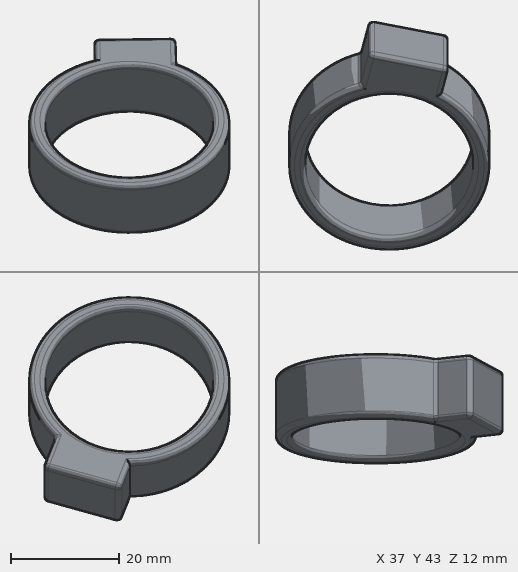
import cadquery as cq
import math

overall_length = 43.0
height = 12.0
edge_radius = 1.0

outer_radius = 18.5
bore_diameter = 31.0

block_angle = math.radians(27.0)
block_width = 15.0
block_right = 9.05
block_left = block_right - block_width

corner_center_y = overall_length - outer_radius - edge_radius
block_reach = edge_radius + (
    corner_center_y - (block_right - edge_radius) * math.sin(block_angle)
) / math.cos(block_angle)


def turned(side, reach):
    """X, Y of a place given in the block's own sideways and outward directions."""
    x = side * math.cos(block_angle) - reach * math.sin(block_angle)
    y = side * math.sin(block_angle) + reach * math.cos(block_angle)
    return x, y


def round_vertical_edge(body, side, reach):
    """Round the vertical edge that stands at the given place of the block."""
    x, y = turned(side, reach)
    nearest = cq.selectors.NearestToPointSelector((x, y, height / 2))
    return body.edges("|Z").edges(nearest).fillet(edge_radius)


def make_blank():
    """Disc and block in one piece, bored through, with all edges still sharp."""
    disc = cq.Workplane("XY").circle(outer_radius).extrude(height)
    corners = [
        turned(block_left, 0),
        turned(block_right, 0),
        turned(block_right, block_reach),
        turned(block_left, block_reach),
    ]
    block = cq.Workplane("XY").polyline(corners).close().extrude(height)
    bore = cq.Workplane("XY").circle(bore_diameter / 2).extrude(height)
    return disc.union(block).cut(bore)


def make_ring():
    """Ring with its block, edges rounded; the left-hand root of the block stays sharp."""
    body = make_blank()
    for side in (block_left, block_right):
        body = round_vertical_edge(body, side, block_reach)
    body = body.faces("<Z or >Z").edges().fillet(edge_radius)

    right_root_reach = math.sqrt(outer_radius**2 - block_right**2)
    return round_vertical_edge(body, block_right, right_root_reach)


ring = make_ring()

result = cq.Compound.makeCompound([ring.val()])